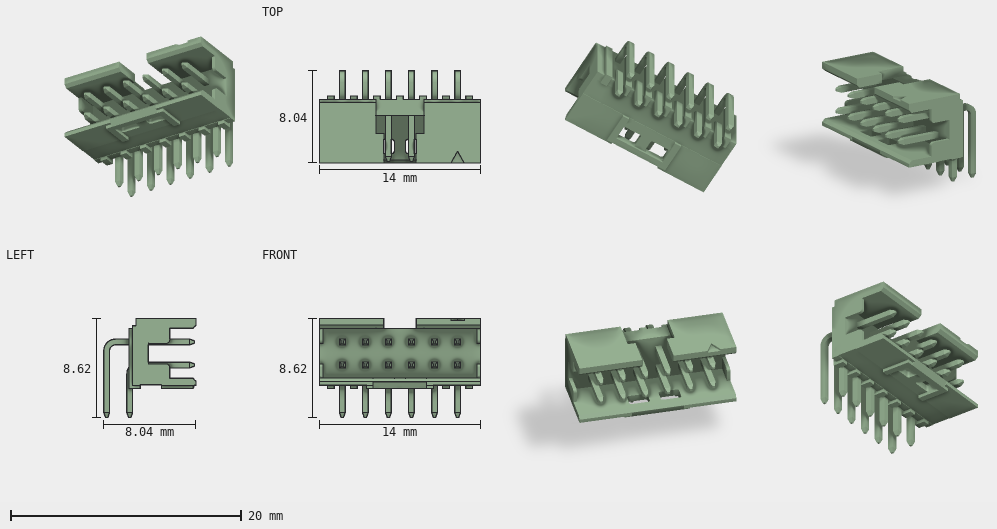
import cadquery as cq


length = 14.0
height = 5.82
body_depth = 5.55
roof_depth = 5.25
roof_step_height = 5.2
cavity_floor = 0.62
cavity_roof = 4.95
cavity_depth = 4.15
side_wall = 0.31
mouth_chamfer = 0.28

side_wall_front = 2.3
window_bottom = 1.86
window_top = 3.64
window_corner_radius = 0.31

notch_width = 2.8
notch_back_width = 4.2
notch_back_start = 2.58

slot_inner = 0.49
slot_outer = 2.32
slot_front = 0.85
slot_back = 2.06
slot_corner_radius = 0.2

standoff = 0.3
rib_width = 0.62
rib_foot_front = 4.85
foot_bar_back = slot_front
foot_leg_width = 0.6
foot_leg_back = 3.02
floor_relief = 0.04
nose_width = 2 * slot_outer
nose_top = 0.31

arrow_width = 1.16
arrow_length = 1.04
arrow_depth = 0.18

pin_count = 6
pitch = 2.0
pin_size = 0.52
pin_tip_size = 0.21
pin_taper = 0.43
pin_front = 0.14
lower_row_z = 1.76
upper_row_z = lower_row_z + pitch
pin_back = 8.04
pin_bottom = -2.8
bend_inner_radius = 0.5

pin_xs = [(i - (pin_count - 1) / 2) * pitch for i in range(pin_count)]
rib_xs = [(i - pin_count / 2) * pitch for i in range(pin_count + 1)]


def block(x_range, y_range, z_range):
    """Box spanning the given (low, high) ranges."""
    spans = [high - low for low, high in (x_range, y_range, z_range)]
    corner = (x_range[0], y_range[0], z_range[0])
    return cq.Workplane("XY").box(*spans, centered=False).translate(corner)


def centred(width, x=0.0):
    """X range of the given width about x."""
    return (x - width / 2, x + width / 2)


def side_prism(outline, width):
    """Closed (y, z) outline extruded along X, centred on X = 0."""
    return cq.Workplane("YZ").polyline(outline).close().extrude(width / 2, both=True)


def make_shell():
    """Housing with stepped back edge, chamfered mouth, cavity and open sides."""
    shell = side_prism(
        [
            (0, 0),
            (body_depth, 0),
            (body_depth, roof_step_height),
            (roof_depth, roof_step_height),
            (roof_depth, height),
            (0, height),
            (0, cavity_roof + mouth_chamfer),
            (mouth_chamfer, cavity_roof),
            (mouth_chamfer, cavity_floor),
            (0, cavity_floor - mouth_chamfer),
        ],
        length,
    )
    cavity = block(centred(length - 2 * side_wall), (0, cavity_depth), (cavity_floor, cavity_roof))
    open_front = block(centred(length), (0, side_wall_front), (cavity_floor, cavity_roof))
    window = block(centred(length), (side_wall_front, cavity_depth), (window_bottom, window_top))
    shell = shell.cut(cavity).cut(open_front).cut(window)
    margin = side_wall / 10
    for z in (window_bottom, window_top):
        corner = cq.selectors.BoxSelector(
            (-length, side_wall_front - margin, z - margin),
            (length, side_wall_front + margin, z + margin),
        )
        shell = shell.edges(corner).fillet(window_corner_radius)
    return shell


def make_notch():
    """Stepped opening through the roof, wider at the back."""
    z_range = (cavity_roof, height)
    front = block(centred(notch_width), (0, notch_back_start), z_range)
    back = block(centred(notch_back_width), (notch_back_start, body_depth), z_range)
    return front.union(back)


def make_slot(side):
    """Rounded opening through the floor; side is -1 or +1."""
    x = side * (slot_inner + slot_outer) / 2
    slot = block(centred(slot_outer - slot_inner, x), (slot_front, slot_back), (0, cavity_floor))
    return slot.edges("|Z").fillet(slot_corner_radius)


def make_rib(x):
    """L-shaped rib running up the back face, with a foot under the floor."""
    upright = block(centred(rib_width, x), (body_depth, body_depth + standoff), (-standoff, cavity_roof))
    foot = block(centred(rib_width, x), (rib_foot_front, body_depth), (-standoff, floor_relief))
    return upright.union(foot)


def make_front_foot():
    """U-shaped foot under the floor: a bar along the front edge and two legs running back."""
    z_range = (-standoff, floor_relief)
    foot = block(centred(nose_width), (0, foot_bar_back), z_range)
    for side in (-1, 1):
        leg_x = side * (nose_width + foot_leg_width) / 2
        foot = foot.union(block(centred(foot_leg_width, leg_x), (mouth_chamfer, foot_leg_back), z_range))
    return foot


def make_nose_cut():
    """Wedge removed below the sloped lead-in."""
    return side_prism([(0, nose_top), (mouth_chamfer, -standoff), (0, -standoff)], nose_width)


def make_arrow():
    """Triangular recess marking pin 1."""
    x = pin_xs[-1]
    return (
        cq.Workplane("XY", origin=(0, 0, height - arrow_depth))
        .polyline([(x - arrow_width / 2, 0), (x + arrow_width / 2, 0), (x, arrow_length)])
        .close()
        .extrude(arrow_depth)
    )


def make_pin_tip(plane):
    """Tapered pin end growing along the normal of the plane."""
    return (
        cq.Workplane(plane)
        .rect(pin_size, pin_size)
        .workplane(offset=pin_taper)
        .rect(pin_tip_size, pin_tip_size)
        .loft(ruled=True)
    )


def make_pin(z, back):
    """Bent contact at X = 0: axis height z, rear face at y = back."""
    half = pin_size / 2
    bend_radius = bend_inner_radius + half
    leg_y = back - half
    front = pin_front + pin_taper
    bottom = pin_bottom + pin_taper
    path = (
        cq.Workplane("YZ")
        .moveTo(front, z)
        .lineTo(leg_y - bend_radius, z)
        .radiusArc((leg_y, z - bend_radius), bend_radius)
        .lineTo(leg_y, bottom)
    )
    shaft = cq.Workplane("XZ", origin=(0, front, z)).rect(pin_size, pin_size).sweep(path)
    mating_tip = make_pin_tip(cq.Plane((0, front, z), (1, 0, 0), (0, -1, 0)))
    solder_tip = make_pin_tip(cq.Plane((0, leg_y, bottom), (1, 0, 0), (0, 0, -1)))
    return shaft.union(mating_tip).union(solder_tip)


housing = make_shell().cut(make_notch()).cut(make_arrow())
housing = housing.cut(block(centred(length), (foot_leg_back, rib_foot_front), (0, floor_relief)))
housing = housing.union(make_front_foot())
housing = housing.cut(make_nose_cut())
for side in (-1, 1):
    housing = housing.cut(make_slot(side))
for x in rib_xs:
    housing = housing.union(make_rib(x))

upper_pin = make_pin(upper_row_z, pin_back)
lower_pin = make_pin(lower_row_z, pin_back - pitch)
result = housing
for x in pin_xs:
    result = result.union(upper_pin.translate((x, 0, 0)))
    result = result.union(lower_pin.translate((x, 0, 0)))